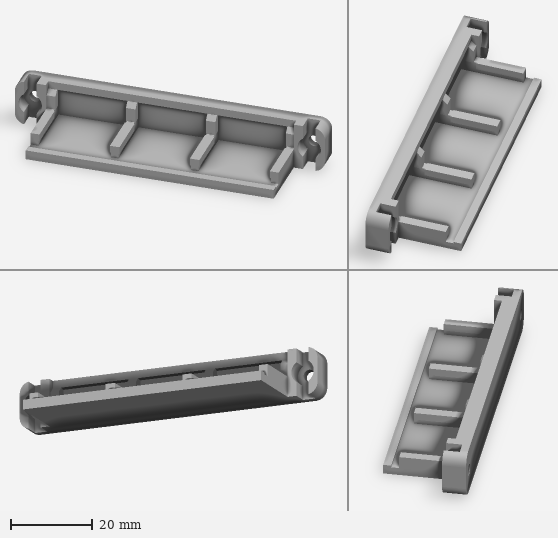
import cadquery as cq

LENGTH = 80.25
DEPTH = 22.2
HEIGHT = 12.2
WALL = 2.0

EAR_WIDTH = 8.0
EAR_DEPTH = 6.0
CORNER_RADIUS = 3.0
SCREW_HOLE_DIAMETER = 3.0
SCREW_HEAD_DIAMETER = 6.0
SLOT_WIDTH = 3.3

BEAM_DEPTH = 4.0
LIP_WIDTH = 2.0
LIP_HEIGHT = 2.5

BAY_COUNT = 3
BAY_WIDTH = 18.2
INNER_RIB_WIDTH = 2.5
RIB_HEIGHT = 5.2
LIP_GAP = 2.0
POST_REACH = 1.3

RELIEF_STEP = 0.25
RELIEF_BAND = 1.3
RELIEF_REACH = 6.0

TRAY_LENGTH = LENGTH - 2 * EAR_WIDTH
TRAY_END = TRAY_LENGTH / 2
EAR_CENTRE = TRAY_END + EAR_WIDTH / 2
MID_HEIGHT = HEIGHT / 2
BEAM_BOTTOM = HEIGHT - WALL
LIP_BACK = DEPTH - LIP_WIDTH
RIB_FRONT = LIP_BACK - LIP_GAP
POST_FRONT = BEAM_DEPTH + POST_REACH
BAY_PITCH = BAY_WIDTH + INNER_RIB_WIDTH
BAY_CENTRES = [(i - (BAY_COUNT - 1) / 2) * BAY_PITCH for i in range(BAY_COUNT)]


def extrude_along_x(profile, width, centre):
    """Extrude a closed (Y, Z) profile by width, centred on X = centre."""
    return cq.Workplane("YZ", origin=(centre, 0, 0)).polyline(profile).close().extrude(width / 2, both=True)


def make_shell():
    """C-shaped shell: floor with a front lip, back panel and overhanging top beam."""
    profile = [
        (0, 0),
        (-DEPTH, 0),
        (-DEPTH, LIP_HEIGHT),
        (-LIP_BACK, LIP_HEIGHT),
        (-LIP_BACK, WALL),
        (-WALL, WALL),
        (-WALL, BEAM_BOTTOM),
        (-BEAM_DEPTH, BEAM_BOTTOM),
        (-BEAM_DEPTH, HEIGHT),
        (0, HEIGHT),
    ]
    return extrude_along_x(profile, TRAY_LENGTH, 0)


def make_rib_block():
    """L-shaped rib stock over the whole tray: floor bar and post that slopes out from under the beam."""
    profile = [
        (-WALL, WALL),
        (-RIB_FRONT, WALL),
        (-RIB_FRONT, RIB_HEIGHT),
        (-POST_FRONT, RIB_HEIGHT),
        (-POST_FRONT, BEAM_BOTTOM - POST_REACH),
        (-BEAM_DEPTH, BEAM_BOTTOM),
        (-WALL, BEAM_BOTTOM),
    ]
    return extrude_along_x(profile, TRAY_LENGTH, 0)


def make_bay(centre):
    """Space of one bay, as wide as the gap between two ribs."""
    return (
        cq.Workplane("XY")
        .box(BAY_WIDTH, DEPTH, HEIGHT)
        .translate((centre, -DEPTH / 2, MID_HEIGHT))
    )


def make_relief(centre):
    """Wider space at the bottom and back of one bay, with a block in the corner between them."""
    profile = [
        (-WALL, WALL),
        (-RIB_FRONT, WALL),
        (-RIB_FRONT, WALL + RELIEF_BAND),
        (-RELIEF_REACH, WALL + RELIEF_BAND),
        (-RELIEF_REACH, RIB_HEIGHT),
        (-WALL - RELIEF_BAND, RIB_HEIGHT),
        (-WALL - RELIEF_BAND, BEAM_BOTTOM),
        (-WALL, BEAM_BOTTOM),
    ]
    return extrude_along_x(profile, BAY_WIDTH + 2 * RELIEF_STEP, centre)


def make_tray():
    """Shell with the ribs that remain between and beside the bays."""
    ribs = make_rib_block()
    for centre in BAY_CENTRES:
        ribs = ribs.cut(make_bay(centre)).cut(make_relief(centre))
    return make_shell().union(ribs)


def make_ear(side):
    """Screw ear at one end of the tray; side is -1 for the -X end and +1 for the +X end."""
    centre = side * EAR_CENTRE
    outer_edges = "|Y and >X" if side > 0 else "|Y and <X"
    body = (
        cq.Workplane("XY")
        .box(EAR_WIDTH, EAR_DEPTH, HEIGHT)
        .translate((centre, -EAR_DEPTH / 2, MID_HEIGHT))
        .edges(outer_edges)
        .fillet(CORNER_RADIUS)
    )
    back = cq.Workplane("XZ", origin=(centre, 0, MID_HEIGHT))
    plate_front = cq.Workplane("XZ", origin=(centre, -WALL, MID_HEIGHT))
    slot = plate_front.rect(SLOT_WIDTH, HEIGHT).extrude(EAR_DEPTH - WALL)
    head_recess = plate_front.circle(SCREW_HEAD_DIAMETER / 2).extrude(EAR_DEPTH - WALL)
    screw_hole = back.circle(SCREW_HOLE_DIAMETER / 2).extrude(EAR_DEPTH)
    return body.cut(slot).cut(head_recess).cut(screw_hole)


tray = make_tray()
ears = [make_ear(side) for side in (-1, 1)]

result = cq.Compound.makeCompound([tray.solids().val(), *[ear.solids().val() for ear in ears]])